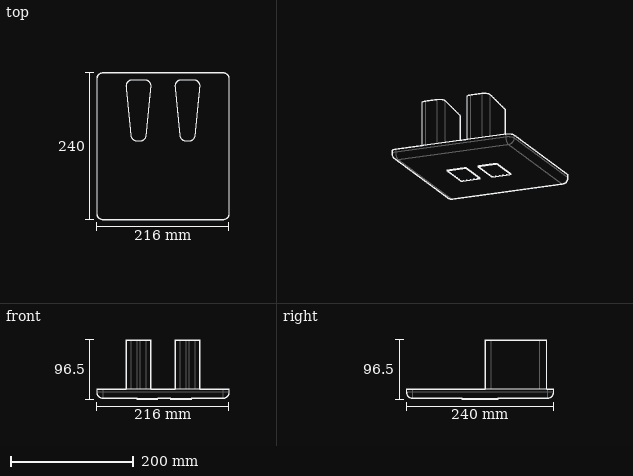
import cadquery as cq

plate_width = 216.0
plate_length = 240.0
plate_thickness = 15.0
edge_radius = 10.0

upright_height = 80.0
upright_length = 100.0
upright_back_width = 42.2
upright_front_width = 22.8
upright_radius = 10.0
upright_spacing = 80.0
upright_back_gap = 11.5

pad_width = 33.5
pad_length = 58.5
pad_height = 1.5
pad_spacing = 54.7
pad_pair_offset = 2.0


def make_plate():
    """Plate with rounded corners and a rounded lower rim."""
    plate = cq.Workplane("XY").box(
        plate_width, plate_length, plate_thickness, centered=(True, True, False)
    )
    return plate.edges("|Z").fillet(edge_radius).faces("<Z").edges().fillet(edge_radius)


def make_upright(center_x):
    """Upright with a rounded trapezoid section, standing on the plate."""
    back_y = plate_length / 2 - upright_back_gap
    front_y = back_y - upright_length
    outline = [
        (center_x - upright_back_width / 2, back_y),
        (center_x + upright_back_width / 2, back_y),
        (center_x + upright_front_width / 2, front_y),
        (center_x - upright_front_width / 2, front_y),
    ]
    upright = (
        cq.Workplane("XY")
        .workplane(offset=plate_thickness)
        .polyline(outline)
        .close()
        .extrude(upright_height)
    )
    return upright.edges("|Z").fillet(upright_radius)


def make_pad(center_x):
    """Plain rectangular pad hanging below the plate."""
    return (
        cq.Workplane("XY")
        .center(center_x, 0)
        .rect(pad_width, pad_length)
        .extrude(-pad_height)
    )


result = make_plate()
for side in (-1, 1):
    result = result.union(make_upright(side * upright_spacing / 2))
    result = result.union(make_pad(pad_pair_offset + side * pad_spacing / 2))